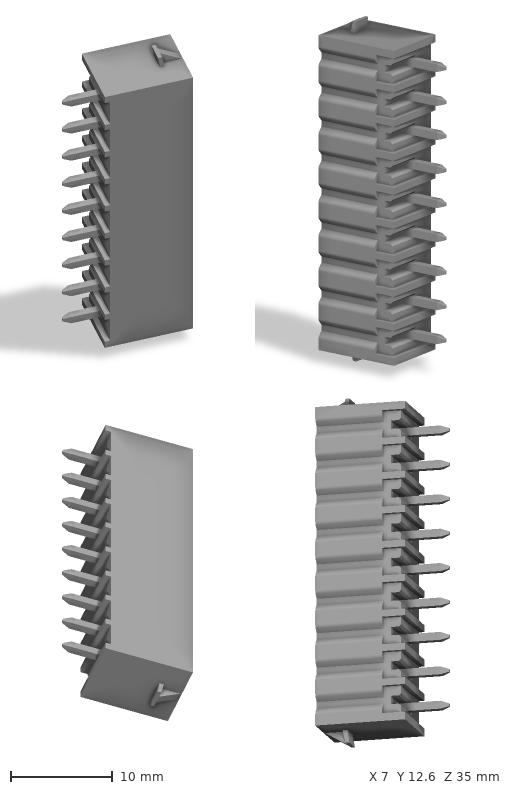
import cadquery as cq
import math


position_count = 9
pitch = 3.5
rib_thickness = 0.7
housing_width = 7.0
rib_end_depth = 9.2
pin_face_depth = 8.65
latch_height = 1.3
overall_height = 35.0
housing_height = overall_height - 2 * latch_height

groove_length = 6.85
groove_depth = 0.5
groove_floor = 0.64
groove_wall_angle = 42
shoulder_radius = 0.48

slot_end = 4.4
slot_height = 0.84
slot_depth = 1.05
slot_chamfer = 0.22

pin_x = 4.0
pin_size = 0.8
pin_tip_size = 0.3
pin_taper_length = 0.8
pin_end_depth = 12.6
pin_embed_depth = 1.0

latch_x = housing_width / 2
latch_width = 2.0
gusset_width = 0.8
gusset_start = 0.12
gusset_end = 2.25
latch_root_rear = 2.1
latch_root_front = 2.6
latch_bevel_start = 2.38
latch_tip_rear = 2.5
latch_tip_front = 2.8
latch_bevel_slope = 0.3
latch_foot_height = 0.2


def block(x_range, depth_range, z_range):
    """Box between two X, two depths measured from the back and two Z."""
    x_size = x_range[1] - x_range[0]
    y_size = depth_range[1] - depth_range[0]
    z_size = z_range[1] - z_range[0]
    corner = (x_range[0], -depth_range[1], z_range[0])
    return cq.Workplane("XY").box(x_size, y_size, z_size, centered=False).translate(corner)


def extrude_along_x(depth_z_points, x_start, x_end):
    """Prism along X from a closed outline of (depth from the back, Z) points."""
    outline = [(-depth, z) for depth, z in depth_z_points]
    return cq.Workplane("YZ").workplane(offset=x_start).polyline(outline).close().extrude(x_end - x_start)


def make_recess(z_low, z_high):
    """Space between two ribs, set back on the pin side and on the groove side."""
    z_range = (z_low, z_high)
    pin_side = block((0, housing_width), (pin_face_depth, rib_end_depth), z_range)
    groove_side = block((0, groove_depth), (groove_length, rib_end_depth), z_range)
    return pin_side.union(groove_side)


def make_groove(z_mid):
    """Groove with sloping walls and rounded shoulders, running in from the back."""
    wall_angle = math.radians(groove_wall_angle)
    wall_top_x = shoulder_radius * (1 - math.cos(wall_angle))
    half_floor = groove_floor / 2
    wall_top_z = half_floor + (groove_depth - wall_top_x) / math.tan(wall_angle)
    half_mouth = wall_top_z + shoulder_radius * math.sin(wall_angle)
    arc_mid_x = shoulder_radius * (1 - math.cos(wall_angle / 2))
    arc_mid_z = half_mouth - shoulder_radius * math.sin(wall_angle / 2)
    return (
        cq.Workplane("XZ", origin=(0, 0, z_mid))
        .moveTo(0, -half_mouth)
        .threePointArc((arc_mid_x, -arc_mid_z), (wall_top_x, -wall_top_z))
        .lineTo(groove_depth, -half_floor)
        .lineTo(groove_depth, half_floor)
        .lineTo(wall_top_x, wall_top_z)
        .threePointArc((arc_mid_x, arc_mid_z), (0, half_mouth))
        .close()
        .extrude(groove_length)
    )


def make_slot(z_mid):
    """Slot with a chamfered mouth, open to the groove side."""
    half = slot_height / 2
    half_mouth = half + slot_chamfer
    floor = pin_face_depth - slot_depth
    chamfer_start = pin_face_depth - slot_chamfer
    outline = [
        (floor, z_mid - half),
        (chamfer_start, z_mid - half),
        (pin_face_depth, z_mid - half_mouth),
        (pin_face_depth, z_mid + half_mouth),
        (chamfer_start, z_mid + half),
        (floor, z_mid + half),
    ]
    return extrude_along_x(outline, 0, slot_end)


def make_pin(z_mid):
    """Square pin with a tapered tip."""
    start = pin_face_depth - slot_depth - pin_embed_depth
    shank_length = pin_end_depth - pin_taper_length - start
    return (
        cq.Workplane("XZ", origin=(pin_x, -start, z_mid))
        .rect(pin_size, pin_size)
        .extrude(shank_length)
        .faces("<Y")
        .workplane()
        .rect(pin_size, pin_size)
        .workplane(offset=pin_taper_length)
        .rect(pin_tip_size, pin_tip_size)
        .loft()
    )


def make_top_latch():
    """Leaning latch plate braced by a narrow sloping gusset, with one bevel across both."""
    root = housing_height / 2
    tip = root + latch_height

    def bevel_z(depth):
        return tip - latch_bevel_slope * (latch_tip_rear - depth)

    plate = extrude_along_x(
        [
            (latch_root_rear, root),
            (latch_root_front, root),
            (latch_root_front, root + latch_foot_height),
            (latch_tip_front, tip),
            (latch_tip_rear, tip),
            (latch_bevel_start, bevel_z(latch_bevel_start)),
        ],
        latch_x - latch_width / 2,
        latch_x + latch_width / 2,
    )
    gusset = extrude_along_x(
        [
            (gusset_start, root),
            (latch_root_front, root),
            (latch_tip_rear, tip),
            (gusset_end, bevel_z(gusset_end)),
        ],
        latch_x - gusset_width / 2,
        latch_x + gusset_width / 2,
    )
    return plate.union(gusset)


half_height = housing_height / 2
result = block((0, housing_width), (0, rib_end_depth), (-half_height, half_height))

position_centers = [(index - (position_count - 1) / 2) * pitch for index in range(position_count)]
half_recess = (pitch - rib_thickness) / 2
for center in position_centers:
    result = result.cut(make_recess(center - half_recess, center + half_recess))
    result = result.cut(make_groove(center))
    result = result.cut(make_slot(center))
    result = result.union(make_pin(center))

top_latch = make_top_latch()
result = result.union(top_latch).union(top_latch.mirror("XY"))